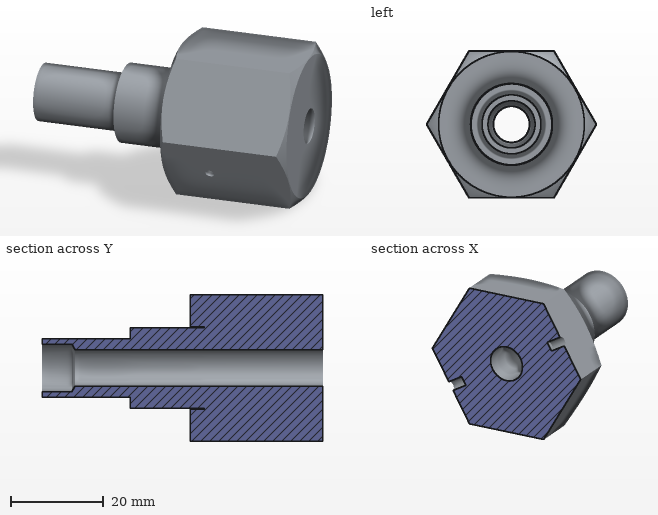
import cadquery as cq
import math

overall_length = 60.6
tube_length = 19.05
collar_length = 12.85
nut_start = tube_length + collar_length
nut_length = overall_length - nut_start

tube_diameter = 12.75
collar_diameter = 17.45
bore_diameter = 7.75
socket_diameter = 10.2
socket_depth = 6.4
seat_angle = 60.0

across_flats = 31.8
across_corners = across_flats / math.cos(math.radians(30))
nut_face_diameter = 31.45
chamfer_angle = 30.0
clearance_diameter = 17.7
clearance_depth = 3.05

vent_diameter = 2.0
vent_depth = 3.65
vent_position = 42.55
vent_tilts = (-60.0, 120.0)


def cylinder(start, length, diameter):
    """Cylinder about the X axis, starting at the given X."""
    return cq.Workplane("YZ", origin=(start, 0, 0)).circle(diameter / 2).extrude(length)


def turned_profile(points):
    """Solid of revolution about the X axis from (X, radius) points."""
    return cq.Workplane("XY").polyline(points).close().revolve(360, (0, 0), (1, 0))


def make_nut():
    """Hexagonal prism with corners on +/-Y and coned corners at both ends."""
    end_face = cq.Workplane("YZ", origin=(nut_start, 0, 0))
    hexagon = end_face.polygon(6, across_corners).extrude(nut_length)
    corner_radius = across_corners / 2
    face_radius = nut_face_diameter / 2
    chamfer_length = (corner_radius - face_radius) * math.tan(math.radians(chamfer_angle))
    envelope = turned_profile([
        (nut_start, 0),
        (nut_start, face_radius),
        (nut_start + chamfer_length, corner_radius),
        (overall_length - chamfer_length, corner_radius),
        (overall_length, face_radius),
        (overall_length, 0),
    ])
    return hexagon.intersect(envelope)


def make_bore():
    """Through bore with a wider socket at the tube end and a conical seat."""
    socket_radius = socket_diameter / 2
    bore_radius = bore_diameter / 2
    seat_length = (socket_radius - bore_radius) / math.tan(math.radians(seat_angle))
    return turned_profile([
        (0, 0),
        (0, socket_radius),
        (socket_depth, socket_radius),
        (socket_depth + seat_length, bore_radius),
        (overall_length, bore_radius),
        (overall_length, 0),
    ])


def make_clearance_gap():
    """Thin ring between the collar and the opening in the nut."""
    opening = cylinder(nut_start, clearance_depth, clearance_diameter)
    return opening.cut(cylinder(nut_start, clearance_depth, collar_diameter))


def make_vent(tilt):
    """Blind round hole square to one nut flat, at mid-width."""
    floor_height = across_flats / 2 - vent_depth
    floor = cq.Workplane("XY", origin=(vent_position, 0, floor_height))
    hole = floor.circle(vent_diameter / 2).extrude(vent_depth)
    return hole.rotate((0, 0, 0), (1, 0, 0), tilt)


result = cylinder(0, tube_length, tube_diameter)
result = result.union(cylinder(tube_length, collar_length, collar_diameter))
result = result.union(make_nut())
result = result.cut(make_clearance_gap())
result = result.cut(make_bore())
for tilt in vent_tilts:
    result = result.cut(make_vent(tilt))